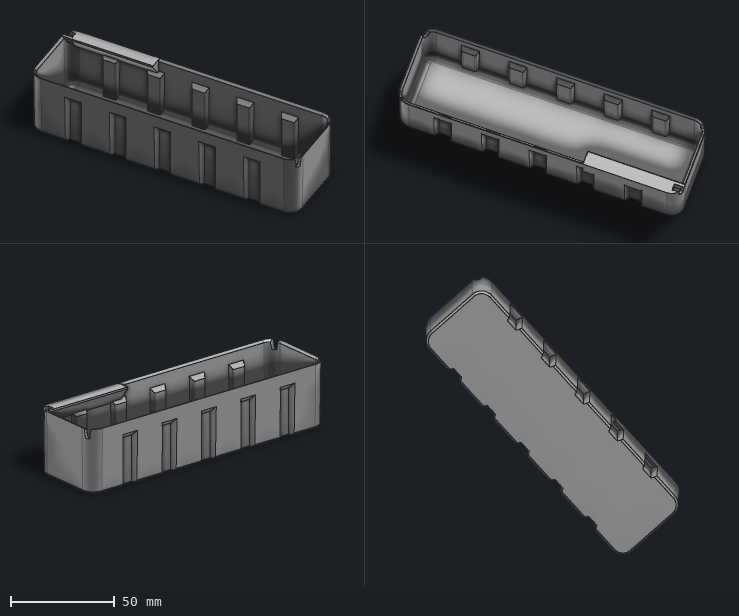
import cadquery as cq
import math

length = 146.4
width = 41.1
height = 33.7
corner_radius = 7.0
draft_angle = 0.8
wall = 1.5
floor_thickness = 1.5
floor_fillet = 4.0
foot_chamfer = 1.1

rim_land = 0.3
rim_bevel_angle = 45

rib_count = 5
rib_pitch = length / (rib_count + 1)
groove_width = 9.1
groove_face_width = 6.0
groove_depth = 3.0
groove_top = 27.1
rib_wall = 0.8

notch_offset = 16.7
notch_reach = 5.1
notch_top_width = 3.2
notch_bottom_width = 1.9
notch_depth = 5.1
notch_fillet = 0.6

shelf_length = 50.0
shelf_width = 7.0
shelf_lip = 1.0
shelf_slope = 1.4


def funnel(inset, depth, taper):
    """Rounded block hanging from the rim plane, narrowing downward by the taper angle."""
    return (
        cq.Workplane("XY")
        .workplane(offset=height)
        .sketch()
        .rect(length - 2 * inset, width - 2 * inset)
        .vertices()
        .fillet(corner_radius - inset)
        .finalize()
        .extrude(-depth, taper=taper)
    )


def outer_body():
    return funnel(0, height, draft_angle).faces("<Z").chamfer(foot_chamfer)


def cavity():
    return funnel(wall, height - floor_thickness, draft_angle).faces("<Z").edges().fillet(floor_fillet)


def rim_bevel():
    return funnel(rim_land, wall - rim_land, rim_bevel_angle)


def rib(x, growth):
    """Trapezoid prism on the +Y wall, grown on all sides, with a top that slopes down inward at 45 degrees."""
    back = width / 2 - (height - groove_top) * math.tan(math.radians(draft_angle))
    face = back - groove_depth
    prism = (
        cq.Workplane("XY")
        .moveTo(x - groove_width / 2, back)
        .lineTo(x - groove_face_width / 2, face)
        .lineTo(x + groove_face_width / 2, face)
        .lineTo(x + groove_width / 2, back)
        .close()
    )
    if growth > 0:
        prism = prism.offset2D(growth, "arc")
    prism = prism.extrude(height)

    top_at_back = groove_top + growth * math.sqrt(2)
    reach = 2 * groove_depth
    below_top = (
        cq.Workplane("YZ")
        .workplane(offset=x - groove_width)
        .moveTo(back - reach, 0)
        .lineTo(back + reach, 0)
        .lineTo(back + reach, top_at_back + reach)
        .lineTo(back - reach, top_at_back - reach)
        .close()
        .extrude(2 * groove_width)
    )
    return prism.intersect(below_top)


def shelf():
    edge = width / 2 - shelf_width
    wedge = (
        cq.Workplane("YZ")
        .workplane(offset=-length / 2)
        .moveTo(width / 2, height)
        .lineTo(edge, height)
        .lineTo(edge, height - shelf_lip)
        .lineTo(width / 2, height - shelf_lip - shelf_slope * shelf_width)
        .close()
        .extrude(shelf_length)
    )
    return wedge.intersect(outer_body())


def notch(end, side):
    """Tapered slot with a rounded bottom, cut inward from one end at one corner."""
    y = side * notch_offset
    bottom = height - notch_depth
    return (
        cq.Workplane("YZ")
        .workplane(offset=end * length / 2)
        .moveTo(y - notch_top_width / 2, height)
        .lineTo(y - notch_bottom_width / 2, bottom)
        .lineTo(y + notch_bottom_width / 2, bottom)
        .lineTo(y + notch_top_width / 2, height)
        .close()
        .extrude(-end * notch_reach)
        .edges("|X and <Z")
        .fillet(notch_fillet)
    )


body = outer_body()
tray = body.cut(cavity()).cut(rim_bevel())

for index in range(rib_count):
    x = (index - (rib_count - 1) / 2) * rib_pitch
    boss = rib(x, rib_wall).intersect(body)
    groove = rib(x, 0)
    tray = tray.union(boss).union(boss.mirror("XZ"))
    tray = tray.cut(groove).cut(groove.mirror("XZ"))

tray = tray.union(shelf())
for end in (-1, 1):
    for side in (-1, 1):
        tray = tray.cut(notch(end, side))

result = tray